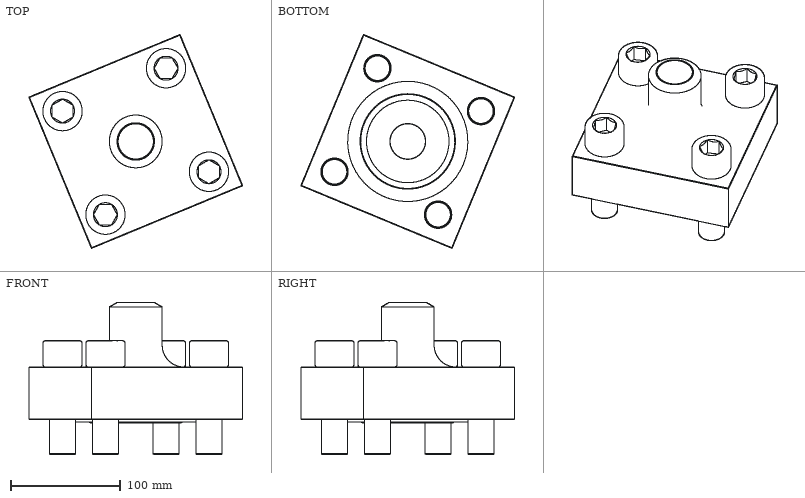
import cadquery as cq
import math

OVERALL_WIDTH = 195.6
TURN_ANGLE = 22.5
PLATE_THICKNESS = 48.0
EDGE_CHAMFER = 0.5
turn = math.radians(TURN_ANGLE)
plate_side = OVERALL_WIDTH / (math.cos(turn) + math.sin(turn))

PIPE_DIAMETER = 48.3
BORE_DIAMETER = 32.3
PIPE_HEIGHT = 59.0
ROOT_RADIUS = 20.0
RIM_WIDTH = 1.0
BEVEL_ANGLE = 30.0
pipe_radius = PIPE_DIAMETER / 2
bore_radius = BORE_DIAMETER / 2
rim_radius = bore_radius + RIM_WIDTH
bevel_height = (pipe_radius - rim_radius) * math.tan(math.radians(BEVEL_ANGLE))

FACE_DIAMETER = 110.0
FACE_HEIGHT = 2.5
GROOVE_INNER_DIAMETER = 75.5
GROOVE_OUTER_DIAMETER = 87.3
SEAL_SECTION_DIAMETER = 5.3
SEAL_PROTRUSION = 0.8
seal_section_radius = SEAL_SECTION_DIAMETER / 2
seal_ring_radius = GROOVE_INNER_DIAMETER / 2 + seal_section_radius
groove_depth = SEAL_SECTION_DIAMETER - SEAL_PROTRUSION

BOLT_CIRCLE_DIAMETER = 145.0
BOLT_COUNT = 4
FIRST_BOLT_ANGLE = 45.0
SHANK_DIAMETER = 24.0
BOLT_HOLE_DIAMETER = 25.0
BOLT_REACH = 32.0
TIP_CHAMFER = 0.8
HEAD_DIAMETER = 36.0
HEAD_HEIGHT = 24.0
HEAD_FILLET = 2.3
SOCKET_SIDES = 6
SOCKET_DIAMETER = 22.0
SOCKET_DEPTH = 15.7
SOCKET_LEAD_ANGLE = 45.0
SOCKET_TURN = -7.5
shank_length = PLATE_THICKNESS + BOLT_REACH
socket_flat_radius = SOCKET_DIAMETER / 2 * math.cos(math.pi / SOCKET_SIDES)
socket_lead_depth = (SOCKET_DIAMETER / 2 - socket_flat_radius) * math.tan(math.radians(SOCKET_LEAD_ANGLE))

plate_bottom = -PLATE_THICKNESS
face_bottom = plate_bottom - FACE_HEIGHT
bolt_angles = [FIRST_BOLT_ANGLE + i * 360 / BOLT_COUNT for i in range(BOLT_COUNT)]


def bolt_position(angle):
    """X and Y of a bolt axis before the assembly is turned."""
    radius = BOLT_CIRCLE_DIAMETER / 2
    return (radius * math.cos(math.radians(angle)), radius * math.sin(math.radians(angle)))


def make_plate():
    """Square block with chamfered top and bottom edges."""
    return (
        cq.Workplane("XY")
        .workplane(offset=plate_bottom)
        .rect(plate_side, plate_side)
        .extrude(PLATE_THICKNESS)
        .faces(">Z or <Z")
        .edges()
        .chamfer(EDGE_CHAMFER)
    )


def make_pipe():
    """Pipe stub with a concave root and a welding bevel, starting at mid-plate."""
    root_outer_radius = pipe_radius + ROOT_RADIUS
    arc_offset = ROOT_RADIUS * (1 - math.sqrt(0.5))
    start = -PLATE_THICKNESS / 2
    return (
        cq.Workplane("XZ")
        .moveTo(0, start)
        .lineTo(root_outer_radius, start)
        .lineTo(root_outer_radius, 0)
        .threePointArc((pipe_radius + arc_offset, arc_offset), (pipe_radius, ROOT_RADIUS))
        .lineTo(pipe_radius, PIPE_HEIGHT - bevel_height)
        .lineTo(rim_radius, PIPE_HEIGHT)
        .lineTo(0, PIPE_HEIGHT)
        .close()
        .revolve(360, (0, 0, 0), (0, 1, 0))
    )


def make_flange():
    """Plate, pipe stub and sealing face as one solid, with its bore, seal groove and bolt holes."""
    face = cq.Workplane("XY").workplane(offset=plate_bottom).circle(FACE_DIAMETER / 2).extrude(-FACE_HEIGHT)
    bore = (
        cq.Workplane("XY")
        .workplane(offset=face_bottom)
        .circle(bore_radius)
        .extrude(PIPE_HEIGHT - face_bottom)
    )
    groove = (
        cq.Workplane("XY")
        .workplane(offset=face_bottom)
        .circle(GROOVE_OUTER_DIAMETER / 2)
        .circle(GROOVE_INNER_DIAMETER / 2)
        .extrude(groove_depth)
    )
    bolt_holes = (
        cq.Workplane("XY")
        .workplane(offset=plate_bottom)
        .pushPoints([bolt_position(angle) for angle in bolt_angles])
        .circle(BOLT_HOLE_DIAMETER / 2)
        .extrude(PLATE_THICKNESS)
    )
    return make_plate().union(make_pipe()).union(face).cut(bore).cut(groove).cut(bolt_holes)


def make_seal_ring():
    """Ring of round section standing proud of the sealing face."""
    center_z = face_bottom - SEAL_PROTRUSION + seal_section_radius
    return (
        cq.Workplane("XZ")
        .center(seal_ring_radius, center_z)
        .circle(seal_section_radius)
        .revolve(360, (-seal_ring_radius, 0, 0), (-seal_ring_radius, 1, 0))
    )


def make_bolt(angle):
    """Socket head bolt seated on the plate, its socket turned by SOCKET_TURN from the bolt angle."""
    socket_radius = SOCKET_DIAMETER / 2
    lead_bottom = HEAD_HEIGHT - socket_lead_depth
    head = cq.Workplane("XY").circle(HEAD_DIAMETER / 2).extrude(HEAD_HEIGHT).edges().fillet(HEAD_FILLET)
    shank = (
        cq.Workplane("XY")
        .circle(SHANK_DIAMETER / 2)
        .extrude(-shank_length)
        .faces("<Z")
        .edges()
        .chamfer(TIP_CHAMFER)
    )
    socket = (
        cq.Workplane("XY")
        .workplane(offset=HEAD_HEIGHT)
        .polygon(SOCKET_SIDES, SOCKET_DIAMETER)
        .extrude(-SOCKET_DEPTH)
    )
    lead = cq.Solid.makeCone(
        socket_flat_radius, socket_radius, socket_lead_depth, pnt=cq.Vector(0, 0, lead_bottom)
    )
    bolt = head.union(shank).cut(socket).cut(cq.Workplane(lead))
    x, y = bolt_position(angle)
    return bolt.rotate((0, 0, 0), (0, 0, 1), angle + SOCKET_TURN).translate((x, y, 0))


def turned(body):
    """Solid of a body, swung with the whole assembly about the pipe axis."""
    return body.rotate((0, 0, 0), (0, 0, 1), TURN_ANGLE).val()


flange = turned(make_flange())
seal_ring = turned(make_seal_ring())
bolts = [turned(make_bolt(angle)) for angle in bolt_angles]

result = cq.Compound.makeCompound([flange, seal_ring, *bolts])